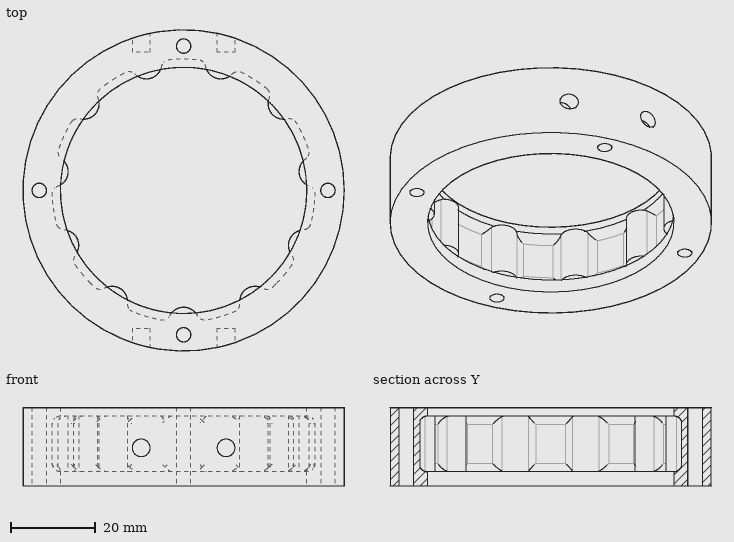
import cadquery as cq
import math

outer_radius = 37.9
bore_radius = 29.0
height = 18.5

top_lip = 2.0
bottom_lip = 3.4
recess_bottom = bottom_lip
recess_radius = 31.0
recess_top = height - top_lip
lip_fillet = recess_radius - bore_radius

lobe_count = 11
lobe_radius = 3.65
lobe_tip_radius = 27.5
lobe_circle_radius = lobe_tip_radius + lobe_radius
root_fillet = 2.0
root_overlap = 0.75
first_lobe_angle = -90.0

screw_hole_count = 4
screw_hole_diameter = 3.3
screw_circle_radius = 34.0

side_hole_diameter = 4.2
side_hole_offset = 10.0
side_hole_z = 9.0
side_hole_floor_y = 32.6


def plain_ring():
    return cq.Workplane("XY").circle(outer_radius).circle(bore_radius).extrude(height)


def recess():
    """Revolved groove in the bore, with concave quarter rounds at its floor and ceiling."""
    arc_reach = lip_fillet * math.sqrt(0.5)
    arc_middle_radius = bore_radius + arc_reach
    arc_middle_rise = lip_fillet - arc_reach
    profile = (
        cq.Workplane("XZ")
        .moveTo(0, recess_bottom)
        .lineTo(bore_radius, recess_bottom)
        .threePointArc(
            (arc_middle_radius, recess_bottom + arc_middle_rise),
            (recess_radius, recess_bottom + lip_fillet),
        )
        .lineTo(recess_radius, recess_top - lip_fillet)
        .threePointArc(
            (arc_middle_radius, recess_top - arc_middle_rise),
            (bore_radius, recess_top),
        )
        .lineTo(0, recess_top)
        .close()
    )
    return profile.revolve(360, (0, 0, 0), (0, 1, 0))


def lobe(angle):
    """Round lobe standing on the recess wall, blended into it by concave root fillets."""
    centre_reach = recess_radius - root_fillet
    centre_gap = lobe_radius + root_fillet
    fillet_x = (lobe_circle_radius**2 + centre_reach**2 - centre_gap**2) / (2 * lobe_circle_radius)
    fillet_y = math.sqrt(centre_reach**2 - fillet_x**2)

    wall_x = fillet_x * recess_radius / centre_reach
    wall_y = fillet_y * recess_radius / centre_reach
    blend = lobe_radius / centre_gap
    lobe_x = lobe_circle_radius + (fillet_x - lobe_circle_radius) * blend
    lobe_y = fillet_y * blend

    bisector_x = (wall_x + lobe_x) / 2 - fillet_x
    bisector_y = (wall_y + lobe_y) / 2 - fillet_y
    bisector_length = math.hypot(bisector_x, bisector_y)
    middle_x = fillet_x + root_fillet * bisector_x / bisector_length
    middle_y = fillet_y + root_fillet * bisector_y / bisector_length

    outline = (
        cq.Workplane("XY", origin=(0, 0, recess_bottom))
        .moveTo(wall_x, wall_y)
        .threePointArc((middle_x, middle_y), (lobe_x, lobe_y))
        .threePointArc((lobe_tip_radius, 0), (lobe_x, -lobe_y))
        .threePointArc((middle_x, -middle_y), (wall_x, -wall_y))
        .lineTo(recess_radius + root_overlap, -wall_y)
        .lineTo(recess_radius + root_overlap, wall_y)
        .close()
    )
    return outline.extrude(recess_top - recess_bottom).rotate((0, 0, 0), (0, 0, 1), angle)


def screw_holes():
    return (
        cq.Workplane("XY")
        .polarArray(screw_circle_radius, 0, 360, screw_hole_count)
        .circle(screw_hole_diameter / 2)
        .extrude(height)
    )


def side_hole(x, side):
    """Blind hole drilled inwards from the side of the ring facing -Y (-1) or +Y (+1)."""
    drill = cq.Workplane("XZ", origin=(x, side * side_hole_floor_y, side_hole_z))
    drill_length = outer_radius - side_hole_floor_y
    return drill.circle(side_hole_diameter / 2).extrude(-side * drill_length)


result = plain_ring().cut(recess())
for index in range(lobe_count):
    result = result.union(lobe(first_lobe_angle + index * 360 / lobe_count))
result = result.cut(screw_holes())
for side in (-1, 1):
    for x in (-side_hole_offset, side_hole_offset):
        result = result.cut(side_hole(x, side))